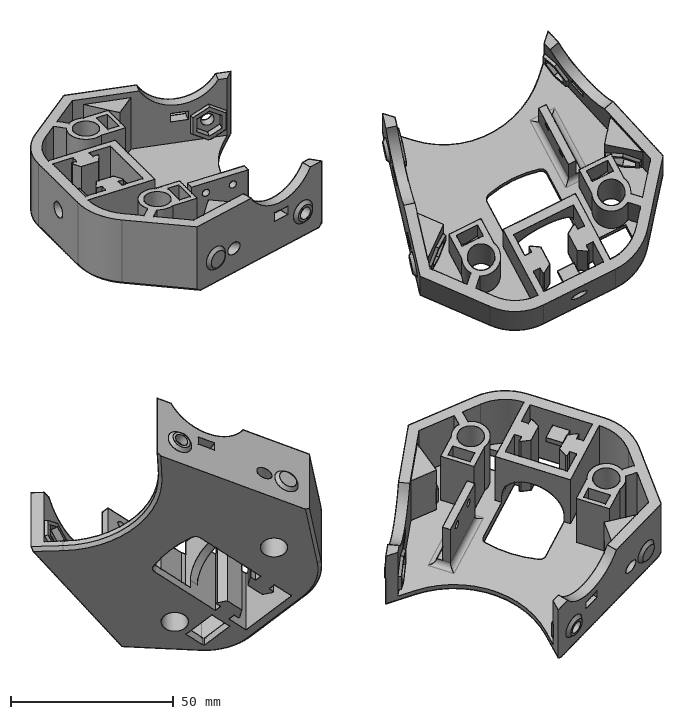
import cadquery as cq
import math

height = 24.0
half_width = 42.0
corner_y = 25.45
tip_x = 28.65
tip_y = 76.9
front_corner_x = 21.6
front_radius = 19.0
wall = 3.5
floor = 3.0
bottom_chamfer = 1.1
rear_bay_y = 60.9
past = 16.8
overlap = 0.8

side_run_x = tip_x - half_width
side_run_y = tip_y - corner_y
side_length = math.hypot(side_run_x, side_run_y)
side_along = cq.Vector(side_run_x / side_length, side_run_y / side_length, 0)
side_out = cq.Vector(side_along.y, -side_along.x, 0)
slant_run_x = half_width - front_corner_x
slant_length = math.hypot(slant_run_x, corner_y)
slant_along = cq.Vector(slant_run_x / slant_length, corner_y / slant_length, 0)
slant_in = cq.Vector(-slant_along.y, slant_along.x, 0)
up = cq.Vector(0, 0, 1)

bay_radius = (rear_bay_y - (tip_y - tip_x)) / (math.sqrt(2) - 1)
bay_center_y = rear_bay_y + bay_radius

notch_y = 60.0
notch_bottom = 16.9
notch_radius = 14.6
window_y = 60.15
window_length = 5.6
window_z = 12.4
window_height = 3.0

screw_z = 8.9
screw_diameter = 4.2
rear_boss_y = 69.1
front_boss_y = 33.2
boss_diameter = 8.15
boss_height = 1.1
nut_flats = 8.0
nut_depth = 2.4
nut_rim_flats = 11.4
nut_rim_height = 1.0
nut_rim_taper = 22.0

block_top = 22.0
block_side_length = 9.0
block_face_length = 11.8
block_y = 45.2

post_x = 22.5
post_y = 22.35
post_diameter = 12.0
post_bore = 8.4
post_block_width = 11.1
post_block_end_y = 33.3
post_rib = 2.9
post_rib_reach = 13.4
pocket_length = 7.3
pocket_width = 3.9
pocket_y = 30.0
pocket_valley_z = 8.4
pocket_valley_depth = 2.1

box_outer_half = 12.5
box_inner_half = 10.3
box_front_y = 3.8
box_inner_rear_y = 24.1
box_outer_rear_y = 27.05
rail_y = 13.8
rail_stem_half = 2.85
rail_neck_x = 8.0
rail_tip_x = 4.7
rail_shoulder_x = 7.4
rail_shoulder_half = 4.7
rail_tip_half = 3.0
tab_half = 2.85
tab_end_y = 9.15
tab_bottom = 15.7
tab_top = 17.6
front_hole_z = 14.3
front_hole_diameter = 5.4
arch_spring_z = 6.05

opening_shoulder_y = 43.5
opening_crown_y = 45.0
opening_fillet = 2.1
side_opening_end_x = 24.3
side_opening_y0 = 8.6
side_opening_y1 = 16.05

plate_x = 15.2
plate_thickness = 2.6
plate_y0 = 37.0
plate_y1 = 57.0
plate_top = 20.9
foot_width = 4.5
foot_fillet = 2.0
plate_hole_ys = (42.1, 51.6)
plate_hole_z = 17.2
plate_hole_diameter = 2.5


def box(x0, x1, y0, y1, z0, z1):
    return cq.Workplane("XY").box(x1 - x0, y1 - y0, z1 - z0, centered=False).translate((x0, y0, z0))


def both_sides(shape):
    return shape.union(shape.mirror("YZ"))


def side_point(y, z):
    """Point on the outer face of the +X side wall."""
    return cq.Vector(half_width + (y - corner_y) * side_run_x / side_run_y, y, z)


def facing(origin, normal, x_dir):
    return cq.Workplane(cq.Plane(origin, x_dir, normal))


def outline_prism():
    """Solid outline of the part, with the side walls run on past the tips."""
    rear = side_point(tip_y + past, 0)
    right = [(front_corner_x, 0), (half_width, corner_y), (rear.x, rear.y)]
    left = [(-x, y) for x, y in reversed(right)]
    prism = cq.Workplane("XY").polyline(right + left).close().extrude(height)
    return prism.edges("|Z").edges("<Y").fillet(front_radius)


def cavity_prism(prism):
    """Space inside the walls, from the bottom plane up."""
    return prism.faces("<Z").wires().toPending().offset2D(-wall).extrude(height, combine=False)


def chamfer_front(prism):
    front = cq.selectors.BoxSelector((-half_width, -overlap, -overlap), (half_width, corner_y, overlap))
    return prism.faces("<Z").edges(front).chamfer(bottom_chamfer)


def bay_profile(radius):
    reach = radius * math.sqrt(0.5)
    flank_end_x = reach + past
    flank_end_y = bay_center_y - reach + past
    profile = cq.Workplane("XY").moveTo(-flank_end_x, flank_end_y).lineTo(-reach, bay_center_y - reach)
    profile = profile.threePointArc((0, bay_center_y - radius), (reach, bay_center_y - reach))
    return profile.lineTo(flank_end_x, flank_end_y).close()


def rear_bay():
    """Concave rear cut, widened by a chamfer at the bottom edge."""
    bevel = bay_profile(bay_radius + bottom_chamfer).extrude(bottom_chamfer, taper=45)
    beyond = box(-half_width, half_width, tip_y, tip_y + 2 * past, 0, height)
    return bay_profile(bay_radius).extrude(height).union(bevel).union(beyond)


def side_notch():
    center = side_point(notch_y, notch_bottom + notch_radius)
    return facing(center, side_out, side_along).circle(notch_radius).extrude(2 * wall, both=True)


def side_window():
    center = side_point(window_y, window_z)
    opening = facing(center, side_out, side_along).rect(window_length, window_height)
    return opening.extrude(2 * wall, both=True)


def side_boss(y):
    start = side_point(y, screw_z)
    radius = boss_diameter / 2
    return cq.Workplane(cq.Solid.makeCone(radius, radius - boss_height, boss_height, start, side_out))


def hexagon(center, axis, flats, length, taper=0.0):
    """Hexagonal prism or frustum with one corner pointing up."""
    across_corners = flats / math.cos(math.pi / 6)
    return facing(center, axis, up).polygon(6, across_corners).extrude(length, taper=taper)


def corner_block():
    """Triangle against the side wall, sunk slightly into it."""
    corners = (block_rear + slant_along * overlap, block_inner, block_front - slant_in * overlap)
    points = [(p.x, p.y) for p in corners]
    return cq.Workplane("XY").polyline(points).close().extrude(block_top)


def post():
    """Round post with a square back and a diagonal rib to the slanted wall."""
    tube = cq.Workplane("XY").center(post_x, post_y).circle(post_diameter / 2).extrude(height)
    half = post_block_width / 2
    block = box(post_x - half, post_x + half, post_y, post_block_end_y, 0, height)
    rib = facing(cq.Vector(post_x, post_y, 0), up, cq.Vector(1, -1, 0))
    rib = rib.center(post_rib_reach / 2, 0).rect(post_rib_reach, post_rib).extrude(height)
    return tube.union(block).union(rib)


def post_bore_hole():
    return cq.Workplane("XY").center(post_x, post_y).circle(post_bore / 2).extrude(height)


def post_pocket():
    """Pocket behind the bore, ending in a V shaped valley."""
    half = pocket_length / 2
    shoulder_z = pocket_valley_z + pocket_valley_depth
    profile = [(-half, height), (-half, shoulder_z), (0, pocket_valley_z), (half, shoulder_z), (half, height)]
    plane = cq.Workplane("XZ", origin=(post_x, pocket_y, 0))
    return plane.polyline(profile).close().extrude(pocket_width / 2, both=True)


def rail():
    side = [(box_inner_half + overlap, rail_stem_half), (rail_neck_x, rail_stem_half),
            (rail_neck_x, rail_shoulder_half), (rail_shoulder_x, rail_shoulder_half),
            (rail_tip_x, rail_tip_half)]
    other = [(x, -y) for x, y in reversed(side)]
    return cq.Workplane("XY").center(0, rail_y).polyline(side + other).close().extrude(height)


def center_box():
    frame = box(-box_outer_half, box_outer_half, box_front_y - overlap, box_outer_rear_y, 0, height)
    space = box(-box_inner_half, box_inner_half, box_front_y, box_inner_rear_y, 0, height)
    tab = box(-tab_half, tab_half, box_front_y - overlap, tab_end_y, tab_bottom, tab_top)
    return frame, space, both_sides(rail()).union(tab)


def front_hole():
    plane = cq.Workplane("XZ", origin=(0, box_front_y, front_hole_z))
    return plane.circle(front_hole_diameter / 2).extrude(box_front_y)


def arch():
    """Round topped passage through the rear wall of the box."""
    plane = cq.Workplane("XZ", origin=(0, box_outer_rear_y, 0))
    half = box_inner_half
    profile = plane.moveTo(-half, 0).lineTo(-half, arch_spring_z)
    profile = profile.threePointArc((0, arch_spring_z + half), (half, arch_spring_z))
    return profile.lineTo(half, 0).close().extrude(box_outer_rear_y - box_inner_rear_y)


def floor_opening():
    half = box_inner_half
    profile = cq.Workplane("XY").moveTo(-half, box_front_y).lineTo(half, box_front_y)
    profile = profile.lineTo(half, opening_shoulder_y)
    profile = profile.threePointArc((0, opening_crown_y), (-half, opening_shoulder_y)).close()
    return profile.extrude(floor).edges("|Z").edges(">Y").fillet(opening_fillet)


def foot_profile(plane, start, end):
    """Wall profile of the foot: flat top, with concave fillets running out onto the floor."""
    r = foot_fillet
    dip = r * (1 - math.sqrt(0.5))
    sketch = cq.Workplane(plane).moveTo(start - r, floor)
    sketch = sketch.threePointArc((start - dip, floor + dip), (start, floor + r)).lineTo(end, floor + r)
    sketch = sketch.threePointArc((end + dip, floor + dip), (end + r, floor))
    return sketch.lineTo(end + r, 0).lineTo(start - r, 0).close()


def plate():
    """Upright plate with two holes, standing on one side of its foot."""
    across = foot_profile("XZ", plate_x, plate_x + foot_width).extrude(-tip_y)
    along = foot_profile("YZ", plate_y0, plate_y1).extrude(half_width)
    upright = box(plate_x, plate_x + plate_thickness, plate_y0, plate_y1, floor, plate_top)
    centers = [(y, plate_hole_z) for y in plate_hole_ys]
    holes = cq.Workplane("YZ", origin=(plate_x, 0, 0)).pushPoints(centers).circle(plate_hole_diameter / 2)
    return across.intersect(along).union(upright).cut(holes.extrude(plate_thickness))


block_rear = side_point(block_y, 0) - side_out * wall
block_inner = block_rear - slant_along * block_side_length
block_front = block_inner - slant_in * block_face_length

outer = outline_prism()
cavity = cavity_prism(outer)
frame, box_space, box_fittings = center_box()

inside = both_sides(corner_block().union(post())).union(frame)
result = chamfer_front(outer).cut(cavity.translate((0, 0, floor)))
result = result.union(inside.intersect(cavity.union(result)))
result = result.union(plate())

side_opening = box(box_outer_half, side_opening_end_x, side_opening_y0, side_opening_y1, 0, floor)
result = result.cut(floor_opening()).cut(box_space).cut(arch())
result = result.cut(side_opening.intersect(cavity))
result = result.union(box_fittings).cut(front_hole())
result = result.cut(both_sides(post_bore_hole().union(post_pocket())))

rear_inner = side_point(rear_boss_y, screw_z) - side_out * wall
block_seat = (block_inner + block_front) * 0.5 + up * screw_z
fittings = side_boss(rear_boss_y).union(side_boss(front_boss_y))
cuts = side_notch().union(side_window())
for seat, axis in ((rear_inner, -side_out), (block_seat, -slant_along)):
    fittings = fittings.union(hexagon(seat, axis, nut_rim_flats, nut_rim_height, nut_rim_taper))
    tip = seat + axis * nut_rim_height
    cuts = cuts.union(hexagon(tip, -axis, nut_flats, nut_depth))
    cuts = cuts.union(facing(tip, -axis, axis.cross(up)).circle(screw_diameter / 2).extrude(past))
result = result.union(both_sides(fittings)).cut(both_sides(cuts)).cut(rear_bay())